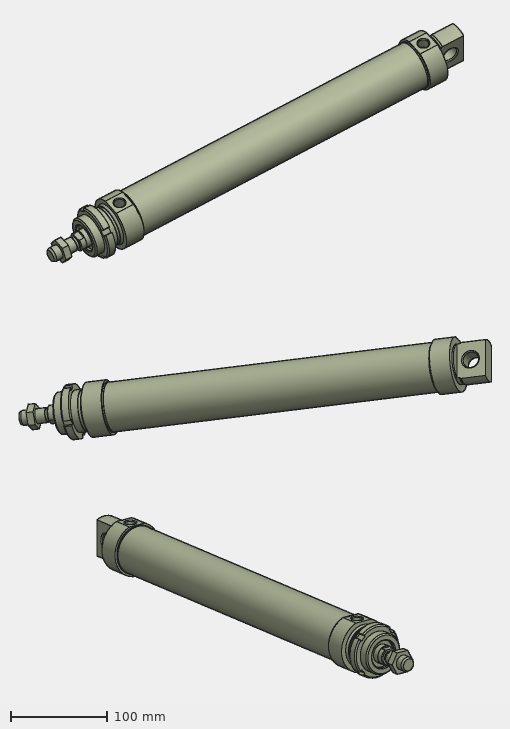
import cadquery as cq
import math


total_length = 515.0
tip_y = -total_length / 2
tail_y = total_length / 2

cap_diameter = 58.0
cap_length = 22.0
cap_lip_diameter = 53.5
cap_lip_length = 1.5
barrel_diameter = 52.5
neck_diameter = 45.0
relief_diameter = 43.0

cap_front_y = tip_y + 76.0
cap_rear_y = cap_front_y + cap_length
barrel_front_y = cap_rear_y + cap_lip_length
nose_y = tip_y + 42.0
nose_chamfer = 1.5
relief_length = 3.0
collar_diameter = 47.5
collar_length = 3.0
wiper_seat_diameter = 30.0
wiper_seat_depth = 4.0
wiper_seat_chamfer = 1.0
wiper_lip_diameter = 20.5
wiper_lip_y = tip_y + 39.0

clevis_length = 33.0
rear_cap_rear_y = tail_y - clevis_length
rear_cap_front_y = rear_cap_rear_y - cap_length
barrel_rear_y = rear_cap_front_y - cap_lip_length
clevis_thickness = 20.0
clevis_shoulder = 1.5
clevis_relief_length = 4.0
clevis_relief_taper = 2.0
clevis_hole_diameter = 17.0
clevis_hole_mouth = 19.5
clevis_hole_inset = 16.5

port_flat_width = 20.0
port_flat_z = math.sqrt(cap_diameter**2 - port_flat_width**2) / 2
port_mouth_diameter = 13.5
port_diameter = 11.5
port_countersink = 1.0
rear_port_depth = 13.0
drill_point_angle = 118.0

rod_diameter = 20.0
rod_end_y = tip_y + 32.0
rod_chamfer = 1.0
wrench_flat_gap = 17.0
wrench_flat_length = 6.5
thread_diameter = 16.0
thread_chamfer_diameter = 13.5
thread_chamfer_length = 2.5
undercut_diameter = 13.5
undercut_length = 3.0

rod_nut_flats = 23.5
rod_nut_thickness = 7.5
rod_nut_y = tip_y + 10.5

ring_nut_thickness = 9.5
ring_nut_y = tip_y + 53.0
ring_nut_chamfer = 1.5
slot_count = 4
slot_width = 6.0
slot_depth = 3.35


def cylinder(diameter, start_y, end_y):
    """Solid cylinder on the Y axis between two stations."""
    return (
        cq.Workplane("XZ", origin=(0, start_y, 0))
        .circle(diameter / 2)
        .extrude(start_y - end_y)
    )


def cone(start_diameter, end_diameter, start_y, end_y):
    """Solid cone frustum on the Y axis between two stations."""
    profile = [(0, start_y), (start_diameter / 2, start_y), (end_diameter / 2, end_y), (0, end_y)]
    return cq.Workplane("XY").polyline(profile).close().revolve(360, (0, 0, 0), (0, 1, 0))


def port_cutter(center_y, depth, pointed):
    """Flat on top of a cap, with a countersunk port going down from it."""
    flat = (
        cq.Workplane("XY", origin=(0, center_y, port_flat_z))
        .rect(cap_diameter, cap_length)
        .extrude(cap_diameter)
    )
    radius = port_diameter / 2
    mouth_radius = port_mouth_diameter / 2
    point_length = radius / math.tan(math.radians(drill_point_angle / 2)) if pointed else 0
    profile = [
        (0, 0),
        (mouth_radius, 0),
        (radius, -port_countersink),
        (radius, -depth),
        (0, -depth - point_length),
    ]
    port = (
        cq.Workplane("XZ")
        .polyline(profile)
        .close()
        .revolve(360, (0, 0, 0), (0, 1, 0))
        .translate((0, center_y, port_flat_z))
    )
    return flat.union(port)


def make_barrel():
    return cylinder(barrel_diameter, barrel_front_y, barrel_rear_y)


def make_front_cap():
    body = cylinder(cap_diameter, cap_front_y, cap_rear_y)
    collar_y = cap_front_y - collar_length
    relief_y = collar_y - relief_length
    nose = cylinder(neck_diameter, nose_y, relief_y).faces("<Y").chamfer(nose_chamfer)
    relief = cylinder(relief_diameter, relief_y, collar_y)
    collar = cone(neck_diameter, collar_diameter, collar_y, cap_front_y)
    lip = cylinder(cap_lip_diameter, cap_rear_y, barrel_front_y)
    body = body.union(lip).union(collar).union(relief).union(nose)

    mouth_diameter = wiper_seat_diameter + 2 * wiper_seat_chamfer
    seat_floor_y = nose_y + wiper_seat_depth
    seat = cylinder(wiper_seat_diameter, nose_y, seat_floor_y)
    seat_mouth = cone(mouth_diameter, wiper_seat_diameter, nose_y, nose_y + wiper_seat_chamfer)
    wiper_lip = cylinder(wiper_lip_diameter, wiper_lip_y, seat_floor_y)
    body = body.cut(seat).cut(seat_mouth).union(wiper_lip)

    rod_bore = cylinder(rod_diameter, wiper_lip_y, barrel_front_y)
    port = port_cutter((cap_front_y + cap_rear_y) / 2, port_flat_z, False)
    return body.cut(rod_bore).cut(port)


def make_rear_cap():
    body = cylinder(cap_diameter, rear_cap_front_y, rear_cap_rear_y)
    lip = cylinder(cap_lip_diameter, barrel_rear_y, rear_cap_front_y)
    port = port_cutter((rear_cap_front_y + rear_cap_rear_y) / 2, rear_port_depth, True)

    relief_end_y = rear_cap_rear_y + clevis_relief_length
    taper_end_y = relief_end_y + clevis_relief_taper
    relief = cylinder(relief_diameter, rear_cap_rear_y, relief_end_y)
    taper = cone(relief_diameter, neck_diameter, relief_end_y, taper_end_y)
    stock = cylinder(neck_diameter, taper_end_y, tail_y).union(taper).union(relief)
    flats_y = rear_cap_rear_y + clevis_shoulder
    for side in (-1, 1):
        flat = (
            cq.Workplane("XY")
            .box(neck_diameter, tail_y - flats_y, neck_diameter)
            .translate((side * (clevis_thickness + neck_diameter) / 2, (tail_y + flats_y) / 2, 0))
        )
        stock = stock.cut(flat)
    return body.union(lip).cut(port).union(stock).cut(clevis_hole_cutter())


def clevis_hole_cutter():
    """Cross hole along X, countersunk on both clevis faces."""
    half = clevis_thickness / 2
    radius = clevis_hole_diameter / 2
    mouth_radius = clevis_hole_mouth / 2
    sink = mouth_radius - radius
    profile = [
        (-half, 0),
        (-half, mouth_radius),
        (-half + sink, radius),
        (half - sink, radius),
        (half, mouth_radius),
        (half, 0),
    ]
    return (
        cq.Workplane("XY")
        .polyline(profile)
        .close()
        .revolve(360, (0, 0, 0), (1, 0, 0))
        .translate((0, tail_y - clevis_hole_inset, 0))
    )


def make_rod():
    shank = cylinder(rod_diameter, rod_end_y, barrel_front_y).faces("<Y").chamfer(rod_chamfer)
    flats_mid_y = rod_end_y + wrench_flat_length / 2
    for side in (-1, 1):
        flat = (
            cq.Workplane("XY")
            .box(2 * rod_diameter, wrench_flat_length, rod_diameter)
            .translate((0, flats_mid_y, side * (wrench_flat_gap + rod_diameter) / 2))
        )
        shank = shank.cut(flat)
    thread_end_y = rod_end_y - undercut_length
    tip_chamfer = (thread_diameter - thread_chamfer_diameter) / 2
    thread = (
        cylinder(thread_diameter, tip_y, thread_end_y)
        .faces("<Y")
        .edges()
        .chamfer(thread_chamfer_length, tip_chamfer)
    )
    undercut = cylinder(undercut_diameter, thread_end_y, rod_end_y)
    return shank.union(undercut).union(thread)


def make_rod_nut():
    """Plain hexagon nut with its flats facing up and down."""
    corner_diameter = rod_nut_flats / math.cos(math.pi / 6)
    end_y = rod_nut_y + rod_nut_thickness
    blank = (
        cq.Workplane("XZ", origin=(0, rod_nut_y, 0))
        .polygon(6, corner_diameter)
        .extrude(-rod_nut_thickness)
    )
    return blank.cut(cylinder(thread_diameter, rod_nut_y, end_y))


def make_ring_nut():
    """Round nut on the nose, with spanner slots on the diagonals."""
    end_y = ring_nut_y + ring_nut_thickness
    nut = cylinder(cap_diameter, ring_nut_y, end_y).faces("<Y").chamfer(ring_nut_chamfer)
    nut = nut.cut(cylinder(neck_diameter, ring_nut_y, end_y))
    slot_pitch = 360 / slot_count
    slot = (
        cq.Workplane("XY")
        .box(2 * slot_depth, ring_nut_thickness, slot_width)
        .translate((cap_diameter / 2, ring_nut_y + ring_nut_thickness / 2, 0))
    )
    for index in range(slot_count):
        angle = (index + 0.5) * slot_pitch
        nut = nut.cut(slot.rotate((0, 0, 0), (0, 1, 0), angle))
    return nut


barrel = make_barrel()
front_cap = make_front_cap()
rear_cap = make_rear_cap()
rod = make_rod()
rod_nut = make_rod_nut()
ring_nut = make_ring_nut()

bodies = [barrel, front_cap, rear_cap, rod, rod_nut, ring_nut]
result = cq.Compound.makeCompound([body.solids().val() for body in bodies])